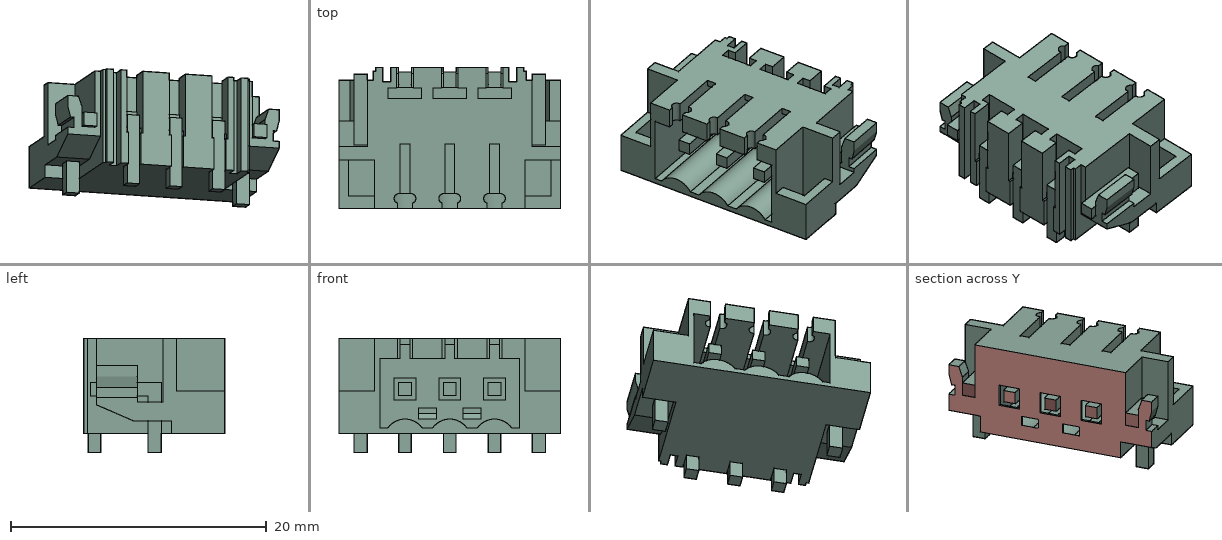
import cadquery as cq


HOUSING_WIDTH = 17.35
HOUSING_DEPTH = 11.05
HOUSING_HEIGHT = 7.45
HALF_WIDTH = HOUSING_WIDTH / 2
PITCH = 3.5
PIN_POSITIONS = [-PITCH, 0, PITCH]

CORE_HALF_WIDTH = 6.0
CORE_BACK = 10.75
TAB_HALF_WIDTH = 5.8
SHOULDER_HALF_WIDTH = 6.45
SHOULDER_BACK = 10.05

CAVITY_HALF_WIDTH = 5.45
CAVITY_FLOOR = 0.43
CAVITY_ROOF = 5.85
CAVITY_BACK = 7.85
SADDLE_HALF_CHORD = 1.35
SADDLE_RISE = 0.7

KEYWAY_WIDTH = 0.76
KEYWAY_TOP = 6.95
KEYWAY_OPEN_END = 5.05
KEY_MOUTH_WIDTH = 1.2
KEY_LOBE_FRONT = 0.43
KEY_LOBE_BACK = 1.17
KEY_LOBE_HALF_WIDTH = 0.85
KEY_LOBE_HALF_FLAT = 0.55

WEDGE_WIDTH = 1.4
WEDGE_BOTTOM = CAVITY_FLOOR + SADDLE_RISE
WEDGE_BACK_BOTTOM = 1.55
WEDGE_TOP = 2.0
WEDGE_DEPTH = 0.45

FRONT_HALF_WIDTH = 5.87
FLANGE_FRONT = 3.8
FLANGE_BACK = 4.85
BLOCK_HEIGHT = 3.33
BLOCK_BACK = 4.17
BOX_WALL_FRONT = 0.98
BOX_WALL_SIDE = 0.77

LATCH_BOTTOM = 1.0
LATCH_SLOPE_START = 7.17
LATCH_BACK_BOTTOM = 2.25
LATCH_FRONT = 6.85
SHELF_TOP = 2.45
LATCH_TOP = 5.33
LATCH_NOSE_BOTTOM = 4.46
LATCH_GROOVE_TOP = 3.62
LATCH_LIP_TOP = 2.8
LATCH_NOSE_WIDTH = 0.87
LATCH_UNDERCUT = 0.22
LATCH_GROOVE_DEPTH = 0.5

PIN_SIZE = 1.0
PIN_AXIS_HEIGHT = 3.48
PIN_FRONT = 1.17
PIN_BACK = 10.7
LEAD_LENGTH = 1.5
PIN_RECESS_SIZE = 1.7
PIN_RECESS_DEPTH = 0.3

HOLD_DOWN_SIZE = 1.05
HOLD_DOWN_FRONT = 4.97
HOLD_DOWN_BACK = 10.52
HOLD_DOWN_OUTER = SHOULDER_HALF_WIDTH + HOLD_DOWN_SIZE
HOLD_DOWN_BOTTOM = 2.93

T_WIDTH = 2.62
T_FRONT = 8.6
T_BACK = 9.42
T_FLOOR = 4.5
T_FLOOR_BACK = 9.48
NECK_WIDTH = 1.32
NECK_FLOOR = PIN_AXIS_HEIGHT - PIN_SIZE / 2
NECK_STEP = 10.58
NECK_STEP_FLOOR = 2.5

SLIT_INNER = 4.63
SLIT_OUTER = 5.23
SLIT_FRONT = 9.93


def block(x0, x1, y0, y1, z0, z1):
    """Box between two opposite corners."""
    return cq.Workplane("XY").box(x1 - x0, y1 - y0, z1 - z0, centered=False).translate((x0, y0, z0))


def centred_block(x, width, y0, y1, z0, z1):
    """Box centred on x."""
    return block(x - width / 2, x + width / 2, y0, y1, z0, z1)


def extrude_along_y(outline, y0, y1):
    """Extrude an outline of (x, z) points from y0 to y1."""
    return cq.Workplane("XZ", origin=(0, y0, 0)).polyline(outline).close().extrude(y0 - y1)


def extrude_along_x(outline, x0, x1):
    """Extrude an outline of (y, z) points from x0 to x1."""
    return cq.Workplane("YZ", origin=(x0, 0, 0)).polyline(outline).close().extrude(x1 - x0)


def mirrored(shape):
    """The shape together with its copy on the other side of the YZ plane."""
    return shape.union(shape.mirror("YZ"))


def core():
    """Central body with its stepped rear edge."""
    front = centred_block(0, 2 * FRONT_HALF_WIDTH, 0, FLANGE_BACK, 0, HOUSING_HEIGHT)
    rear = centred_block(0, 2 * CORE_HALF_WIDTH, FLANGE_FRONT, CORE_BACK, 0, HOUSING_HEIGHT)
    tab = centred_block(0, 2 * TAB_HALF_WIDTH, CORE_BACK, HOUSING_DEPTH, 0, HOUSING_HEIGHT)
    return front.union(rear).union(tab)


def corner_box():
    """Front corner block with an open-topped pocket, backed by the tall flange."""
    base = block(FRONT_HALF_WIDTH, HALF_WIDTH, 0, BLOCK_BACK, 0, BLOCK_HEIGHT)
    pocket = block(FRONT_HALF_WIDTH, HALF_WIDTH - BOX_WALL_SIDE, BOX_WALL_FRONT, FLANGE_FRONT,
                   CAVITY_FLOOR, BLOCK_HEIGHT)
    flange = block(FRONT_HALF_WIDTH, HALF_WIDTH, FLANGE_FRONT, FLANGE_BACK, LATCH_BOTTOM, HOUSING_HEIGHT)
    return base.cut(pocket).union(flange)


def side_latch():
    """Shoulder, sloping shelf and grooved latch bar, with a hole for the hold-down's lead."""
    shelf_outline = [
        (FLANGE_FRONT, LATCH_BOTTOM),
        (LATCH_SLOPE_START, LATCH_BOTTOM),
        (SHOULDER_BACK, LATCH_BACK_BOTTOM),
        (SHOULDER_BACK, SHELF_TOP),
        (FLANGE_FRONT, SHELF_TOP),
    ]
    shoulder_outline = shelf_outline[:3] + [(SHOULDER_BACK, HOUSING_HEIGHT), (FLANGE_FRONT, HOUSING_HEIGHT)]
    groove_x = HALF_WIDTH - LATCH_GROOVE_DEPTH
    bar_outline = [
        (SHOULDER_HALF_WIDTH, SHELF_TOP),
        (HALF_WIDTH, SHELF_TOP),
        (HALF_WIDTH, LATCH_LIP_TOP),
        (groove_x, LATCH_LIP_TOP),
        (groove_x, LATCH_GROOVE_TOP),
        (HALF_WIDTH - LATCH_UNDERCUT, LATCH_GROOVE_TOP),
        (HALF_WIDTH, LATCH_NOSE_BOTTOM),
        (HALF_WIDTH, LATCH_TOP),
        (HALF_WIDTH - LATCH_NOSE_WIDTH, LATCH_TOP),
        (HOLD_DOWN_OUTER, LATCH_NOSE_BOTTOM),
        (HOLD_DOWN_OUTER, HOLD_DOWN_BOTTOM),
        (SHOULDER_HALF_WIDTH, HOLD_DOWN_BOTTOM),
    ]
    shelf = extrude_along_x(shelf_outline, CORE_HALF_WIDTH, HALF_WIDTH)
    shoulder = extrude_along_x(shoulder_outline, CORE_HALF_WIDTH, SHOULDER_HALF_WIDTH)
    bar = extrude_along_y(bar_outline, LATCH_FRONT, SHOULDER_BACK)
    lead_hole = block(SHOULDER_HALF_WIDTH, HOLD_DOWN_OUTER, HOLD_DOWN_FRONT,
                      HOLD_DOWN_FRONT + HOLD_DOWN_SIZE, 0, SHELF_TOP)
    return shelf.union(shoulder).union(bar).cut(lead_hole)


def cavity():
    """Mating cavity, whose floor rises in an arched saddle under each pin."""
    floor_edge = cq.Workplane("XZ").moveTo(-CAVITY_HALF_WIDTH, CAVITY_FLOOR)
    for x in PIN_POSITIONS:
        floor_edge = floor_edge.lineTo(x - SADDLE_HALF_CHORD, CAVITY_FLOOR)
        floor_edge = floor_edge.threePointArc((x, CAVITY_FLOOR + SADDLE_RISE),
                                              (x + SADDLE_HALF_CHORD, CAVITY_FLOOR))
    outline = (
        floor_edge.lineTo(CAVITY_HALF_WIDTH, CAVITY_FLOOR)
        .lineTo(CAVITY_HALF_WIDTH, CAVITY_ROOF)
        .lineTo(-CAVITY_HALF_WIDTH, CAVITY_ROOF)
        .close()
    )
    return outline.extrude(-CAVITY_BACK)


def keyway(x):
    """Groove in the cavity roof, open through the top at the front, with a lobed mouth."""
    groove = centred_block(x, KEYWAY_WIDTH, 0, CAVITY_BACK, CAVITY_ROOF, KEYWAY_TOP)
    slot = centred_block(x, KEYWAY_WIDTH, 0, KEYWAY_OPEN_END, CAVITY_ROOF, HOUSING_HEIGHT)
    half_mouth = KEY_MOUTH_WIDTH / 2
    lobe_middle = (KEY_LOBE_FRONT + KEY_LOBE_BACK) / 2
    mouth = (
        cq.Workplane("XY", origin=(x, 0, CAVITY_ROOF))
        .moveTo(-half_mouth, 0)
        .lineTo(half_mouth, 0)
        .lineTo(half_mouth, KEY_LOBE_FRONT)
        .threePointArc((KEY_LOBE_HALF_WIDTH, lobe_middle), (KEY_LOBE_HALF_FLAT, KEY_LOBE_BACK))
        .lineTo(-KEY_LOBE_HALF_FLAT, KEY_LOBE_BACK)
        .threePointArc((-KEY_LOBE_HALF_WIDTH, lobe_middle), (-half_mouth, KEY_LOBE_FRONT))
        .close()
        .extrude(HOUSING_HEIGHT - CAVITY_ROOF)
    )
    return groove.union(slot).union(mouth)


def wedge_pocket(x):
    """Pocket in the rear cavity wall whose floor slopes up towards the back."""
    outline = [
        (CAVITY_BACK, WEDGE_BOTTOM),
        (CAVITY_BACK + WEDGE_DEPTH, WEDGE_BACK_BOTTOM),
        (CAVITY_BACK + WEDGE_DEPTH, WEDGE_TOP),
        (CAVITY_BACK, WEDGE_TOP),
    ]
    return extrude_along_x(outline, x - WEDGE_WIDTH / 2, x + WEDGE_WIDTH / 2)


def pin_passage(x):
    """Everything cut for one pin: wall recess, bore, lead slot and the T-slot from above."""
    half = PIN_SIZE / 2
    recess_half = PIN_RECESS_SIZE / 2
    recess = centred_block(x, PIN_RECESS_SIZE, CAVITY_BACK, CAVITY_BACK + PIN_RECESS_DEPTH,
                           PIN_AXIS_HEIGHT - recess_half, PIN_AXIS_HEIGHT + recess_half)
    bore = centred_block(x, PIN_SIZE, CAVITY_BACK, HOUSING_DEPTH,
                         PIN_AXIS_HEIGHT - half, PIN_AXIS_HEIGHT + half)
    lead_slot = centred_block(x, PIN_SIZE, PIN_BACK - PIN_SIZE, HOUSING_DEPTH, 0, PIN_AXIS_HEIGHT)
    t_head = centred_block(x, T_WIDTH, T_FRONT, T_BACK, T_FLOOR, HOUSING_HEIGHT)
    t_neck = centred_block(x, NECK_WIDTH, T_BACK, HOUSING_DEPTH, T_FLOOR, HOUSING_HEIGHT)
    deep_neck = centred_block(x, NECK_WIDTH, T_FLOOR_BACK, HOUSING_DEPTH, NECK_FLOOR, T_FLOOR)
    neck_step = centred_block(x, NECK_WIDTH, NECK_STEP, HOUSING_DEPTH, NECK_STEP_FLOOR, NECK_FLOOR)
    passage = recess
    for cut in [bore, lead_slot, t_head, t_neck, deep_neck, neck_step]:
        passage = passage.union(cut)
    return passage


def make_housing():
    """Housing with all of its openings."""
    body = core().union(mirrored(corner_box())).union(mirrored(side_latch()))
    body = body.cut(cavity())
    for x in PIN_POSITIONS:
        body = body.cut(keyway(x)).cut(pin_passage(x))
    for x in [-PITCH / 2, PITCH / 2]:
        body = body.cut(wedge_pocket(x))
    slit = block(SLIT_INNER, SLIT_OUTER, SLIT_FRONT, HOUSING_DEPTH, 0, HOUSING_HEIGHT)
    return body.cut(mirrored(slit))


def make_pin(x):
    """Contact pin: a horizontal bar whose rear end bends down into a solder lead."""
    half = PIN_SIZE / 2
    bar = centred_block(x, PIN_SIZE, PIN_FRONT, PIN_BACK, PIN_AXIS_HEIGHT - half, PIN_AXIS_HEIGHT + half)
    lead = centred_block(x, PIN_SIZE, PIN_BACK - PIN_SIZE, PIN_BACK, -LEAD_LENGTH, PIN_AXIS_HEIGHT)
    return bar.union(lead)


def make_hold_down(side):
    """Hold-down: a horizontal bar along the shoulder whose front end bends down into a lead."""
    x = side * (SHOULDER_HALF_WIDTH + HOLD_DOWN_OUTER) / 2
    bar = centred_block(x, HOLD_DOWN_SIZE, HOLD_DOWN_FRONT, HOLD_DOWN_BACK,
                        HOLD_DOWN_BOTTOM, HOLD_DOWN_BOTTOM + HOLD_DOWN_SIZE)
    lead = centred_block(x, HOLD_DOWN_SIZE, HOLD_DOWN_FRONT, HOLD_DOWN_FRONT + HOLD_DOWN_SIZE,
                         -LEAD_LENGTH, HOLD_DOWN_BOTTOM)
    return bar.union(lead)


housing = make_housing()
pins = [make_pin(x).val() for x in PIN_POSITIONS]
hold_downs = [make_hold_down(side).val() for side in (-1, 1)]
result = cq.Compound.makeCompound([housing.val(), *pins, *hold_downs])